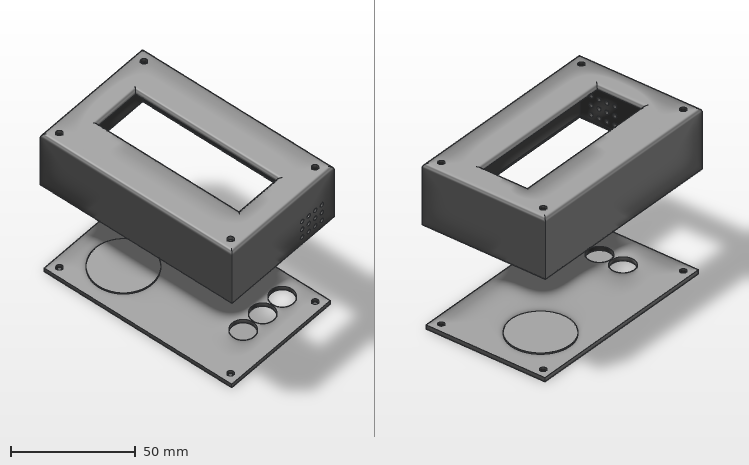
import cadquery as cq

LENGTH = 101.0
WIDTH = 63.0
TOTAL_HEIGHT = 80.0

HOUSING_HEIGHT = 30.0
WALL = 2.0
ROOF = 2.0
TOP_EDGE_RADIUS = 2.0
BOTTOM_EDGE_RADIUS = 0.9

WINDOW_LENGTH = 74.0
WINDOW_WIDTH = 23.0

PLATE_THICKNESS = 2.0
RECESS_LIP = 1.0
PLATE_CLEARANCE = 0.1

SCREW_DIAMETER = 3.0
SCREW_EDGE_DISTANCE = 5.5

VENT_DIAMETER = 2.0
VENT_COLUMNS = 4
VENT_ROWS = 3
VENT_COLUMN_PITCH = 4.0
VENT_ROW_PITCH = 4.5
VENT_GRID_Y = 17.8
VENT_GRID_BELOW_TOP = 20.9

PORT_DIAMETER = 11.5
PORT_COUNT = 3
PORT_PITCH = 12.0
PORT_X = 33.3
PORT_MIDDLE_Y = 7.5

PAD_DIAMETER = 30.0
PAD_HEIGHT = 0.7
PAD_X = -25.7
PAD_Y = -9.3

HOUSING_BOTTOM = TOTAL_HEIGHT - HOUSING_HEIGHT
RECESS_LENGTH = LENGTH - 2 * RECESS_LIP
RECESS_WIDTH = WIDTH - 2 * RECESS_LIP


def box_on(z, length, width, height):
    """A centred block standing on the height z."""
    return cq.Workplane("XY").workplane(offset=z).rect(length, width).extrude(height)


def screw_holes():
    """Four vertical corner holes, long enough to pass both bodies."""
    spacing_x = LENGTH - 2 * SCREW_EDGE_DISTANCE
    spacing_y = WIDTH - 2 * SCREW_EDGE_DISTANCE
    return (
        cq.Workplane("XY")
        .rect(spacing_x, spacing_y, forConstruction=True)
        .vertices()
        .circle(SCREW_DIAMETER / 2)
        .extrude(TOTAL_HEIGHT)
    )


def vents():
    """Grid of round air holes through the +X wall."""
    return (
        cq.Workplane("YZ")
        .workplane(offset=LENGTH / 2 - WALL)
        .center(VENT_GRID_Y, TOTAL_HEIGHT - VENT_GRID_BELOW_TOP)
        .rarray(VENT_COLUMN_PITCH, VENT_ROW_PITCH, VENT_COLUMNS, VENT_ROWS)
        .circle(VENT_DIAMETER / 2)
        .extrude(WALL)
    )


def make_housing():
    """Box open at the bottom, with a stepped rim for the base plate."""
    block = box_on(HOUSING_BOTTOM, LENGTH, WIDTH, HOUSING_HEIGHT)
    block = block.faces("<Z").edges().fillet(BOTTOM_EDGE_RADIUS)

    window = box_on(HOUSING_BOTTOM, WINDOW_LENGTH, WINDOW_WIDTH, HOUSING_HEIGHT)
    block = block.cut(window).faces(">Z").edges().fillet(TOP_EDGE_RADIUS)

    cavity = box_on(HOUSING_BOTTOM, LENGTH - 2 * WALL, WIDTH - 2 * WALL, HOUSING_HEIGHT - ROOF)
    recess = box_on(HOUSING_BOTTOM, RECESS_LENGTH, RECESS_WIDTH, PLATE_THICKNESS)
    return block.cut(cavity).cut(recess).cut(vents()).cut(screw_holes())


def make_base_plate():
    """Flat lid with three ports in a row along Y and a raised round pad."""
    plate_length = RECESS_LENGTH - 2 * PLATE_CLEARANCE
    plate_width = RECESS_WIDTH - 2 * PLATE_CLEARANCE
    plate = box_on(0, plate_length, plate_width, PLATE_THICKNESS)
    ports = (
        cq.Workplane("XY")
        .center(PORT_X, PORT_MIDDLE_Y)
        .rarray(1, PORT_PITCH, 1, PORT_COUNT)
        .circle(PORT_DIAMETER / 2)
        .extrude(PLATE_THICKNESS)
    )
    pad = (
        cq.Workplane("XY")
        .workplane(offset=PLATE_THICKNESS)
        .center(PAD_X, PAD_Y)
        .circle(PAD_DIAMETER / 2)
        .extrude(PAD_HEIGHT)
    )
    return plate.cut(ports).cut(screw_holes()).union(pad)


housing = make_housing()
base_plate = make_base_plate()

result = cq.Compound.makeCompound([housing.val(), base_plate.val()])